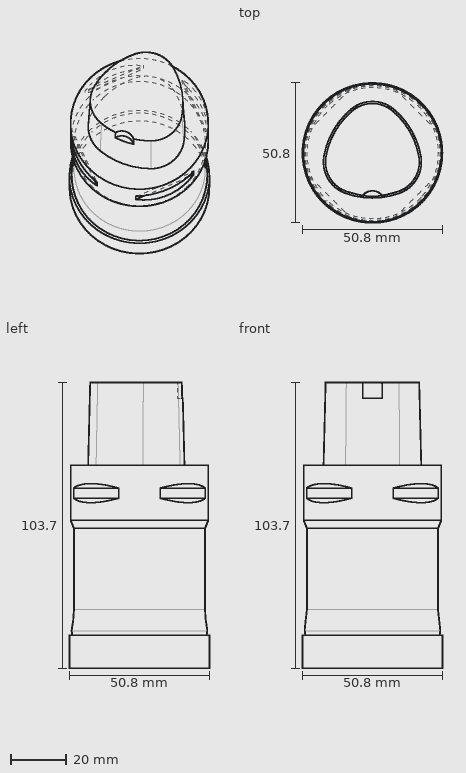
import cadquery as cq
import math

total_height = 103.66
shank_length = 30.0
flange_diameter = 50.0
barrel_diameter = 47.57
cap_diameter = 50.8
cap_height = 12.1

flange_face_z = total_height - shank_length
flange_height = 20.0
flange_bottom_z = flange_face_z - flange_height
flange_chamfer_height = 2.95
flare_top_z = 21.5
flare_bottom_z = 13.7
flare_diameter = 49.3
neck_diameter = 48.8

tip_center_distance = 6.6
tip_radius = 12.05
side_distance = 16.35
shank_diameter_taper = 1 / 20
shank_taper_angle = math.degrees(math.atan(shank_diameter_taper / 2))

notch_radius = 4.5
notch_inner_y = -13.75
notch_depth = 5.7

groove_z = flange_face_z - 10.15
groove_floor_width = 3.65
groove_floor_distance = 22.16
groove_side_angle = 30.0
groove_count = 4
groove_first_angle = 45.0
cutter_length = 60.0
cutter_reach = 30.0


def polar(radius, angle):
    """Point at a distance from the axis, angle in degrees from +X."""
    return (radius * math.cos(math.radians(angle)), radius * math.sin(math.radians(angle)))


def make_cap():
    return cq.Workplane("XY").circle(cap_diameter / 2).extrude(cap_height)


def make_turned_body():
    """Flange, barrel and flared lower end, resting on the cap."""
    return (
        cq.Workplane("XZ")
        .moveTo(0, cap_height)
        .lineTo(neck_diameter / 2, cap_height)
        .lineTo(flare_diameter / 2, flare_bottom_z)
        .lineTo(barrel_diameter / 2, flare_top_z)
        .lineTo(barrel_diameter / 2, flange_bottom_z - flange_chamfer_height)
        .lineTo(flange_diameter / 2, flange_bottom_z)
        .lineTo(flange_diameter / 2, flange_face_z)
        .lineTo(0, flange_face_z)
        .close()
        .revolve(360, (0, 0, 0), (0, 1, 0))
    )


def make_shank():
    """Tapered three-sided shank with one tip toward +Y and one flat side toward -Y."""
    excess = side_distance - tip_radius
    side_center_distance = (tip_center_distance**2 - excess**2) / (2 * excess - tip_center_distance)

    tip_center = polar(tip_center_distance, 90)
    side_center = polar(side_center_distance, -30)
    dx = tip_center[0] - side_center[0]
    dy = tip_center[1] - side_center[1]
    center_gap = math.hypot(dx, dy)
    joint_x = tip_center[0] + tip_radius * dx / center_gap
    joint_y = tip_center[1] + tip_radius * dy / center_gap
    joint_radius = math.hypot(joint_x, joint_y)
    joint_half_angle = math.degrees(math.atan2(joint_y, joint_x)) - 90
    tip_distance = tip_center_distance + tip_radius

    outline = cq.Workplane("XY").workplane(offset=flange_face_z)
    outline = outline.moveTo(*polar(joint_radius, 90 - joint_half_angle))
    for tip_angle in (90, 210, 330):
        tip_end = polar(joint_radius, tip_angle + joint_half_angle)
        side_end = polar(joint_radius, tip_angle + 120 - joint_half_angle)
        outline = outline.threePointArc(polar(tip_distance, tip_angle), tip_end)
        outline = outline.threePointArc(polar(side_distance, tip_angle + 60), side_end)
    return outline.close().extrude(shank_length, taper=shank_taper_angle)


def make_notch_cutter():
    return (
        cq.Workplane("XY")
        .workplane(offset=total_height - notch_depth)
        .center(0, notch_inner_y - notch_radius)
        .circle(notch_radius)
        .extrude(notch_depth)
    )


def make_groove_cutter(angle):
    """Straight V-sided groove with a flat floor, facing outward at the given angle."""
    floor_half = groove_floor_width / 2
    depth = cutter_reach - groove_floor_distance
    mouth_half = floor_half + depth * math.tan(math.radians(groove_side_angle))
    return (
        cq.Workplane("XZ")
        .moveTo(groove_floor_distance, groove_z - floor_half)
        .lineTo(cutter_reach, groove_z - mouth_half)
        .lineTo(cutter_reach, groove_z + mouth_half)
        .lineTo(groove_floor_distance, groove_z + floor_half)
        .close()
        .extrude(cutter_length / 2, both=True)
        .rotate((0, 0, 0), (0, 0, 1), angle)
    )


def make_holder():
    body = make_turned_body().union(make_shank()).cut(make_notch_cutter())
    for index in range(groove_count):
        angle = groove_first_angle + index * 360 / groove_count
        body = body.cut(make_groove_cutter(angle))
    return body


cap = make_cap()
holder = make_holder()

result = cq.Compound.makeCompound([holder.val(), cap.val()])